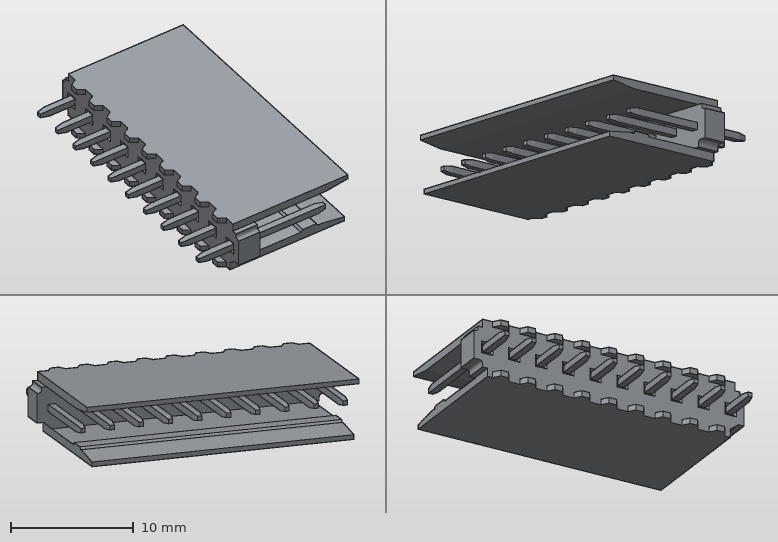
import cadquery as cq
import math


PIN_COUNT = 10
PITCH = 2.55
PIN_WIDTH = 0.6
PIN_TIP_WIDTH = 0.38
PIN_TIP_LENGTH = 0.75
PIN_FRONT = -3.2
PIN_REAR = 9.32

FUNNEL_WIDTH = 1.07
FUNNEL_DEPTH = 0.23

LENGTH = 25.4
HEIGHT = 5.08
BASE_DEPTH = 2.1
FLANGE_TOP = 1.32
FLANGE_BOTTOM = -1.2
UPPER_STEP_HALF = 12.3
LOWER_STEP_HALF = 11.89
CORNER_RADIUS = 0.3
CHAMFER_START = 12.17

PLATE_THICKNESS = 0.74
PLATE_EDGE_THICKNESS = 0.4
PLATE_REAR = 11.35
PLATE_TAPER_LENGTH = 2.18
UPPER_PLATE_HALF = 11.85
LOWER_PLATE_HALF = 11.4

RIDGE_HEIGHT = 0.2
RIDGE_FRONT = 7.04
RIDGE_REAR = 8.7
RIDGE_SLOPE = 0.18

TOOTH_LENGTH = 0.6
TOOTH_THICKNESS = 0.5
TOOTH_ROOT_WIDTH = 1.52
TOOTH_TIP_WIDTH = 0.7

HALF_LENGTH = LENGTH / 2
HALF_HEIGHT = HEIGHT / 2
PLATE_INNER = HALF_HEIGHT - PLATE_THICKNESS
ARC_MIDDLE = CORNER_RADIUS * math.sqrt(0.5)
OVERLAP = 0.25


def row_positions(count):
    """X positions of a centred row at the pin pitch."""
    return [(i - (count - 1) / 2) * PITCH for i in range(count)]


def extrude_along_x(points, half_width):
    """Prism from a (Y, Z) outline, centred on X = 0."""
    return cq.Workplane("YZ").polyline(points).close().extrude(half_width, both=True)


def make_base():
    """Flanged block; three corners are stepped and hollowed, the lower right one is bevelled."""
    upper_arc_x = UPPER_STEP_HALF + CORNER_RADIUS
    upper_arc_z = FLANGE_TOP + CORNER_RADIUS
    lower_arc_x = LOWER_STEP_HALF + CORNER_RADIUS
    lower_arc_z = FLANGE_BOTTOM - CORNER_RADIUS
    outline = (
        cq.Workplane("XZ")
        .moveTo(-UPPER_STEP_HALF, PLATE_INNER)
        .lineTo(UPPER_STEP_HALF, PLATE_INNER)
        .lineTo(UPPER_STEP_HALF, upper_arc_z)
        .threePointArc((upper_arc_x - ARC_MIDDLE, upper_arc_z - ARC_MIDDLE), (upper_arc_x, FLANGE_TOP))
        .lineTo(HALF_LENGTH, FLANGE_TOP)
        .lineTo(HALF_LENGTH, FLANGE_BOTTOM)
        .lineTo(CHAMFER_START, FLANGE_BOTTOM)
        .lineTo(LOWER_PLATE_HALF, -PLATE_INNER)
        .lineTo(-LOWER_STEP_HALF, -PLATE_INNER)
        .lineTo(-LOWER_STEP_HALF, lower_arc_z)
        .threePointArc((ARC_MIDDLE - lower_arc_x, lower_arc_z + ARC_MIDDLE), (-lower_arc_x, FLANGE_BOTTOM))
        .lineTo(-HALF_LENGTH, FLANGE_BOTTOM)
        .lineTo(-HALF_LENGTH, FLANGE_TOP)
        .lineTo(-upper_arc_x, FLANGE_TOP)
        .threePointArc((ARC_MIDDLE - upper_arc_x, upper_arc_z - ARC_MIDDLE), (-UPPER_STEP_HALF, upper_arc_z))
        .close()
    )
    return outline.extrude(-BASE_DEPTH)


def make_plate(side, half_width):
    """Guide plate above (side = 1) or below (side = -1), thinning towards its rear edge."""
    outer = side * HALF_HEIGHT
    inner = side * PLATE_INNER
    points = [
        (0, outer),
        (PLATE_REAR, outer),
        (PLATE_REAR, outer - side * PLATE_EDGE_THICKNESS),
        (PLATE_REAR - PLATE_TAPER_LENGTH, inner),
        (0, inner),
    ]
    return extrude_along_x(points, half_width)


def make_ridge():
    """Low trapezoidal ridge on the lower plate."""
    crest = RIDGE_HEIGHT - PLATE_INNER
    points = [
        (RIDGE_FRONT, -PLATE_INNER - OVERLAP),
        (RIDGE_FRONT, -PLATE_INNER),
        (RIDGE_FRONT + RIDGE_SLOPE, crest),
        (RIDGE_REAR - RIDGE_SLOPE, crest),
        (RIDGE_REAR, -PLATE_INNER),
        (RIDGE_REAR, -PLATE_INNER - OVERLAP),
    ]
    return extrude_along_x(points, LOWER_PLATE_HALF)


def make_tooth(x, bottom):
    """Tapered tooth reaching forward from a plate edge."""
    root = TOOTH_ROOT_WIDTH / 2
    tip = TOOTH_TIP_WIDTH / 2
    points = [
        (x - root, OVERLAP),
        (x - root, 0),
        (x - tip, -TOOTH_LENGTH),
        (x + tip, -TOOTH_LENGTH),
        (x + root, 0),
        (x + root, OVERLAP),
    ]
    return cq.Workplane("XY", origin=(0, 0, bottom)).polyline(points).close().extrude(TOOTH_THICKNESS)


def square_frustum(x, start, start_width, end, end_width):
    """Square solid along Y whose width changes evenly from start to end."""
    return (
        cq.Workplane("XZ", origin=(x, start, 0))
        .rect(start_width, start_width)
        .workplane(offset=start - end)
        .rect(end_width, end_width)
        .loft(ruled=True)
    )


def make_pin(x):
    """Square pin with a tapered tip at each end."""
    shank_front = PIN_FRONT + PIN_TIP_LENGTH
    shank_rear = PIN_REAR - PIN_TIP_LENGTH
    shank = square_frustum(x, shank_front, PIN_WIDTH, shank_rear, PIN_WIDTH)
    front_tip = square_frustum(x, shank_front, PIN_WIDTH, PIN_FRONT, PIN_TIP_WIDTH)
    rear_tip = square_frustum(x, shank_rear, PIN_WIDTH, PIN_REAR, PIN_TIP_WIDTH)
    return shank.union(front_tip).union(rear_tip)


result = make_base()
result = result.union(make_plate(1, UPPER_PLATE_HALF))
result = result.union(make_plate(-1, LOWER_PLATE_HALF))
result = result.union(make_ridge())

for tooth_x in row_positions(PIN_COUNT - 1):
    result = result.union(make_tooth(tooth_x, HALF_HEIGHT - TOOTH_THICKNESS))
    result = result.union(make_tooth(tooth_x, -HALF_HEIGHT))

for pin_x in row_positions(PIN_COUNT):
    result = result.cut(square_frustum(pin_x, 0, FUNNEL_WIDTH, FUNNEL_DEPTH, PIN_WIDTH))
    result = result.union(make_pin(pin_x))